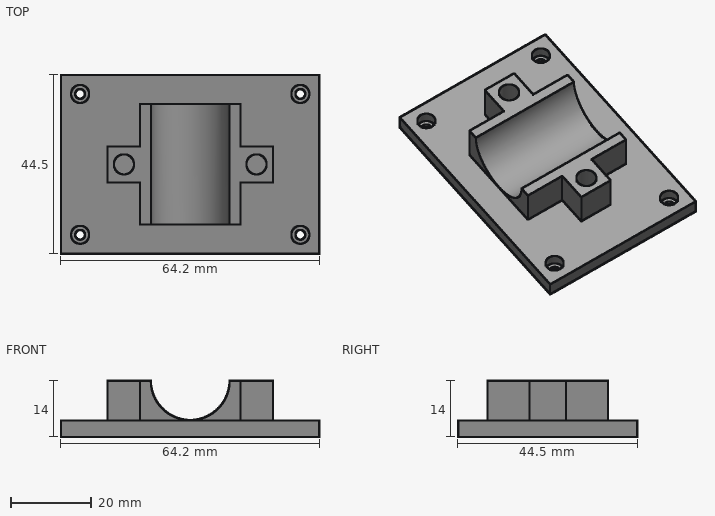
import cadquery as cq

plate_length = 64.25
plate_width = 44.5
plate_thickness = 4.1

screw_spacing_x = 54.75
screw_spacing_y = 35.0
screw_diameter = 2.4
screw_head_diameter = 4.5
screw_head_depth = 3.0

total_height = 14.0
saddle_height = total_height - plate_thickness
saddle_length = 30.0
cradle_radius = 9.75
cradle_wall = 2.7
saddle_width = 2 * (cradle_radius + cradle_wall)

tab_span = 41.2
tab_width = 9.0
clamp_hole_spacing = 32.95
clamp_hole_diameter = 5.0
clamp_hole_depth = saddle_height


def block_on_plate(size_x, size_y):
    """Block centred on the plate, rising to the full height."""
    return (
        cq.Workplane("XY")
        .workplane(offset=plate_thickness)
        .rect(size_x, size_y)
        .extrude(saddle_height)
    )


plate = (
    cq.Workplane("XY")
    .rect(plate_length, plate_width)
    .extrude(plate_thickness)
    .faces(">Z")
    .workplane()
    .rect(screw_spacing_x, screw_spacing_y, forConstruction=True)
    .vertices()
    .cboreHole(screw_diameter, screw_head_diameter, screw_head_depth)
)

saddle = block_on_plate(saddle_width, saddle_length)
tabs = block_on_plate(tab_span, tab_width)

cradle = (
    cq.Workplane("XZ", origin=(0, saddle_length / 2, 0))
    .center(0, total_height)
    .circle(cradle_radius)
    .extrude(saddle_length)
)

clamp_holes = (
    cq.Workplane("XY")
    .workplane(offset=total_height)
    .pushPoints([(side * clamp_hole_spacing / 2, 0) for side in (-1, 1)])
    .circle(clamp_hole_diameter / 2)
    .extrude(-clamp_hole_depth)
)

result = plate.union(saddle).union(tabs).cut(cradle).cut(clamp_holes)